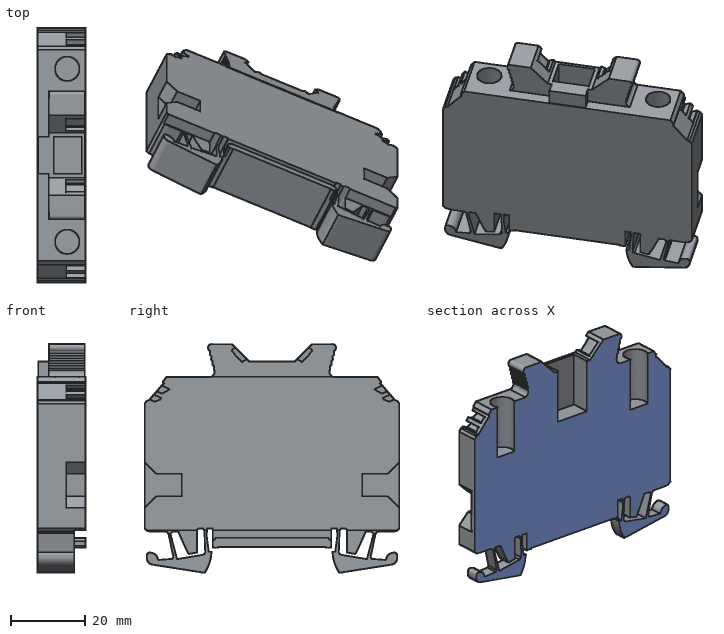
import cadquery as cq
import math

width = 13.0
half_length = 34.4
total_height = 61.7

shoulder_z = 52.8
underside_z = 11.0
center_half_length = 16.05
center_bottom_z = 6.9
lip_length = 1.5
lip_height = 0.2
bevel_top = (29.8, 50.5)
bevel_bottom = (33.15, 46.6)

foot_width = 10.0
wide_underside_z = 11.4
strip_top_z = 9.35
strip_end_chamfer = 0.9
strip_bottom_chamfer = 0.5

groove_start_x = 7.75
groove_heights = ((48.95, 50.5), (46.75, 48.05))
groove_wall_angle = math.radians(25)
groove_upper_run = 2.0
groove_lower_run = 1.4
groove_corner = (0.2, 0.35)

wire_start_x = 7.75
wire_bottom_z = 20.6
wire_top_z = 26.65
wire_flare = 3.15
wire_depth = 10.0

screw_x = 8.05
screw_y = 23.35
screw_diameter = 6.6
screw_depth = 15.0

bridge_start_x = 3.1
bridge_end_x = 12.8
bridge_top_z = 57.0
bridge_half_length = 6.1
lever_crest_y = 10.5
lever_ease = 0.6
lever_nose_y = 17.3
lever_nose_size = 1.1
grip_top = (16.95, 59.9)
lever_neck = (15.55, 54.55)
lever_root_y = 16.6
lever_root_bow = (15.7, 53.55)
tooth_count = 4
tooth_hollow = 0.25
tooth_crest = 0.15

recess_start_x = 7.6
recess_outline = [
    (6.6, 57.57),
    (7.6, 57.2),
    (8.0, 56.8),
    (9.6, 58.35),
    (10.9, 60.0),
    (9.9, 60.8),
]

block_start_x = 0.2
block_half_length = 5.0
window_start_x = 4.45
window_end_x = 11.9
window_depth = 15.0

slot_top_z = 11.85
slot_rounded_height = 2.0
slot_corner_radius = 0.5
leaf_outer_slot = (18.3, 20.2)
leaf_inner_slot = (center_half_length, 17.5)


def box(x_range, y_range, z_range):
    """Box between two X, two Y and two Z values."""
    (x0, x1), (y0, y1), (z0, z1) = x_range, y_range, z_range
    return cq.Workplane("XY").box(x1 - x0, y1 - y0, z1 - z0, centered=False).translate((x0, y0, z0))


def prism(points, x_start, x_end):
    """Polygon of (Y, Z) points extended along X."""
    return cq.Workplane("YZ", origin=(x_start, 0, 0)).polyline(points).close().extrude(x_end - x_start)


def both_ends(shape):
    """The shape together with its mirror image across Y = 0."""
    return shape.union(shape.mirror("XZ"))


def make_housing():
    half_outline = [
        (0, shoulder_z),
        (28.5, shoulder_z),
        (29.5, 51.5),
        (29.2, 51.1),
        bevel_top,
        bevel_bottom,
        (33.8, 46.4),
        (half_length, 45.6),
        (half_length, 11.9),
        (33.6, 11.2),
        (32.5, underside_z),
        (0, underside_z),
    ]
    housing = both_ends(prism(half_outline, 0, width))
    step = box((foot_width, width), (-half_length, half_length), (underside_z, wide_underside_z))
    return housing.cut(step)


def make_center():
    """Deep middle part, with the full-width strip along its lower edge."""
    end = center_half_length
    lip_z = center_bottom_z - lip_height
    core_outline = [
        (0, slot_top_z),
        (end, slot_top_z),
        (end, lip_z),
        (end - lip_length, lip_z),
        (end - lip_length, center_bottom_z),
        (0, center_bottom_z),
    ]
    strip_outline = [
        (0, strip_top_z),
        (end - strip_end_chamfer, strip_top_z),
        (end, strip_top_z - strip_end_chamfer),
        (end, lip_z + strip_bottom_chamfer),
        (end - strip_bottom_chamfer, lip_z),
        (end - lip_length, lip_z),
        (end - lip_length, center_bottom_z),
        (0, center_bottom_z),
    ]
    core = prism(core_outline, 0, foot_width)
    return both_ends(core.union(prism(strip_outline, 0, width)))


def make_foot():
    """Snap foot at +Y: hooked arm, slanted web, spring leaf and locating tooth."""
    arm = (
        cq.Workplane("YZ")
        .moveTo(18.1, 0)
        .lineTo(18.8, 0)
        .lineTo(32.5, 2.15)
        .threePointArc((33.45, 2.85), (33.85, 4.0))
        .lineTo(33.8, 4.7)
        .threePointArc((33.5, 5.25), (32.8, 5.4))
        .threePointArc((31.8, 5.1), (31.0, 4.3))
        .lineTo(30.7, 3.45)
        .lineTo(26.6, 3.75)
        .lineTo(25.7, 3.65)
        .lineTo(18.6, 4.85)
        .lineTo(18.05, 5.3)
        .lineTo(17.0, 5.65)
        .lineTo(16.3, 5.6)
        .threePointArc((16.75, 2.9), (18.1, 0))
        .close()
        .extrude(foot_width)
    )
    web_outline = [
        (28.5, underside_z),
        (28.0, 10.6),
        (26.65, 4.2),
        (27.0, 3.7),
        (25.6, 3.6),
        (27.4, 10.5),
        (26.9, underside_z),
    ]
    leaf_outline = [
        (leaf_outer_slot[0], slot_top_z),
        (18.05, 5.2),
        (17.0, 5.2),
        (17.6, 9.9),
        (leaf_inner_slot[1], slot_top_z),
    ]
    tooth_outline = [
        (leaf_outer_slot[1], slot_top_z),
        (25.3, underside_z),
        (23.9, 7.8),
        (22.6, 5.15),
        (22.3, 5.0),
        (leaf_outer_slot[1], 5.4),
    ]
    foot = arm
    for outline in (web_outline, leaf_outline, tooth_outline):
        foot = foot.union(prism(outline, 0, foot_width))
    return foot


def make_leaf_slots():
    """Slots that run up into the housing on both sides of the spring leaf."""
    slots = box((0, width), leaf_inner_slot, (center_bottom_z, slot_top_z))
    rounded = box((0, width), leaf_outer_slot, (slot_top_z - slot_rounded_height, slot_top_z))
    return slots.union(rounded.edges("|X and >Z").fillet(slot_corner_radius))


def make_shoulder_groove(low_z, top_z):
    """Groove in the sloped shoulder at +Y, with walls that sink toward the middle of the part."""
    slope = (bevel_bottom[0] - bevel_top[0]) / (bevel_top[1] - bevel_bottom[1])
    top_y = bevel_top[0] + (bevel_top[1] - top_z) * slope
    low_y = top_y + (top_z - low_z) * slope
    fall = math.tan(groove_wall_angle)
    inner_y = top_y - groove_upper_run
    inner_z = top_z - groove_upper_run * fall
    outline = [
        (top_y, top_z),
        (inner_y, inner_z),
        (inner_y + groove_corner[0], inner_z - groove_corner[1]),
        (low_y - groove_lower_run, low_z - groove_lower_run * fall),
        (low_y, low_z),
    ]
    return prism(outline, groove_start_x, width)


def make_wire_entry():
    """Wire entry in the +Y end face, flared above and below at its mouth and open to +X."""
    throat_y = half_length - wire_flare
    outline = [
        (half_length, wire_bottom_z - wire_flare),
        (half_length, wire_top_z + wire_flare),
        (throat_y, wire_top_z),
        (half_length - wire_depth, wire_top_z),
        (half_length - wire_depth, wire_bottom_z),
        (throat_y, wire_bottom_z),
    ]
    return prism(outline, wire_start_x, width)


def make_screw_hole():
    return (
        cq.Workplane("XY", origin=(screw_x, screw_y, shoulder_z - screw_depth))
        .circle(screw_diameter / 2)
        .extrude(screw_depth)
    )


def make_half_bridge():
    """Bridge and lever on the +Y side, with finger grip teeth on the outer flank."""
    pitch_y = (lever_neck[0] - grip_top[0]) / tooth_count
    pitch_z = (lever_neck[1] - grip_top[1]) / tooth_count
    outline = (
        cq.Workplane("YZ", origin=(bridge_start_x, 0, 0))
        .moveTo(0, shoulder_z)
        .lineTo(0, bridge_top_z)
        .lineTo(bridge_half_length, bridge_top_z)
        .lineTo(lever_crest_y - lever_ease / 2, total_height - lever_ease)
        .lineTo(lever_crest_y + lever_ease / 2, total_height)
        .lineTo(lever_nose_y - lever_nose_size, total_height)
        .threePointArc((lever_nose_y, total_height - lever_nose_size), grip_top)
    )
    for tooth in range(tooth_count):
        start_y = grip_top[0] + tooth * pitch_y
        start_z = grip_top[1] + tooth * pitch_z
        hollow = (start_y - tooth_hollow, start_z + pitch_z / 4)
        middle = (start_y - tooth_crest, start_z + pitch_z / 2)
        crest = (start_y - tooth_crest, start_z + pitch_z * 3 / 4)
        outline = outline.threePointArc(hollow, middle)
        outline = outline.threePointArc(crest, (start_y + pitch_y, start_z + pitch_z))
    outline = outline.threePointArc(lever_root_bow, (lever_root_y, shoulder_z))
    return outline.close().extrude(bridge_end_x - bridge_start_x)


def make_lever_recess():
    """Recess in the inner slope of the +Y lever, open to +X."""
    return prism(recess_outline, recess_start_x, width)


housing = make_housing().cut(both_ends(make_leaf_slots()))
part = housing.union(make_center()).union(both_ends(make_foot()))
for groove_low, groove_top in groove_heights:
    part = part.cut(both_ends(make_shoulder_groove(groove_low, groove_top)))
part = part.cut(both_ends(make_wire_entry()))
part = part.cut(both_ends(make_screw_hole()))

block_y = (-block_half_length, block_half_length)
bridge = both_ends(make_half_bridge().cut(make_lever_recess()))
bridge = bridge.union(box((block_start_x, bridge_end_x), block_y, (shoulder_z, bridge_top_z)))
window = box((window_start_x, window_end_x), block_y, (bridge_top_z - window_depth, bridge_top_z))
result = part.union(bridge).cut(window)